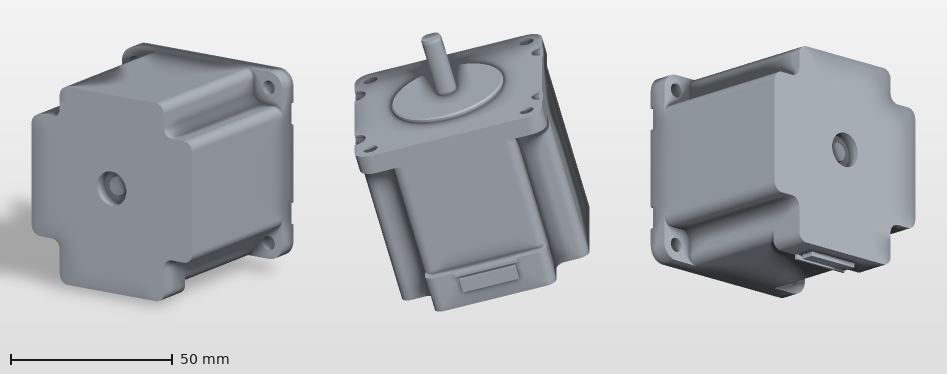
import cadquery as cq


CAP_FRONT = 11.65
FLANGE_REAR = 49.4
FLANGE_FRONT = 55.5
BOSS_FRONT = 57.1
SHAFT_TIP = 76.1

FRAME = 60.0
HALF = FRAME / 2
CORNER_NOTCH = 10.5
NOTCH_FILLET = 3.05
FLANGE_CORNER_RADIUS = 4.95
ARM_WIDTH = FRAME - 2 * CORNER_NOTCH
CAP_DROP = 3.5

HOLE_DIAMETER = 4.5
HOLE_OFFSET = 24.95
BOSS_DIAMETER = 35.7
BOSS_CHAMFER = 0.45
POCKET_RADIUS = 3.5
POCKET_DEPTH = 0.9
POCKET_OFFSET = 16.0

SHAFT_DIAMETER = 6.4
SHAFT_CHAMFER_LENGTH = 1.0
SHAFT_CHAMFER_DEPTH = 0.27
FLAT_LENGTH = 15.15
FLAT_DEPTH = 0.6
RECESS_DIAMETER = 10.95
RECESS_DEPTH = 4.0
SHAFT_REAR = RECESS_DEPTH - SHAFT_CHAMFER_LENGTH

CONNECTOR_DROP = 1.5
CONNECTOR_PLATE_WIDTH = 20.3
CONNECTOR_PLATE_THICKNESS = 0.8
CONNECTOR_GAP = 1.15
CONNECTOR_BLOCK_WIDTH = 17.95
CONNECTOR_BLOCK_LENGTH = 4.4


def box(width, y_start, y_end, z_bottom, z_top):
    """Box centred on X = 0."""
    size = (width, y_end - y_start, z_top - z_bottom)
    corner = cq.Vector(-width / 2, y_start, z_bottom)
    return cq.Workplane(cq.Solid.makeBox(*size, corner))


def cylinder(diameter, y_start, y_end, x=0, z=0):
    """Round bar parallel to the shaft axis."""
    start = cq.Vector(x, y_start, z)
    return cq.Workplane(
        cq.Solid.makeCylinder(diameter / 2, y_end - y_start, start, cq.Vector(0, 1, 0))
    )


def cross_prism(y_start, y_end, drop=0.0):
    """Plus-shaped length of the body; its lower arm can reach below the frame."""
    upright = box(ARM_WIDTH, y_start, y_end, -HALF - drop, HALF)
    crossbar = box(FRAME, y_start, y_end, -ARM_WIDTH / 2, ARM_WIDTH / 2)
    return upright.union(crossbar).edges("|Y").fillet(NOTCH_FILLET)


def make_flange():
    """Rounded square flange with a chamfered boss, corner holes and edge pockets."""
    flange = (
        box(FRAME, FLANGE_REAR, FLANGE_FRONT, -HALF, HALF)
        .edges("|Y")
        .fillet(FLANGE_CORNER_RADIUS)
    )
    boss = (
        cylinder(BOSS_DIAMETER, FLANGE_FRONT, BOSS_FRONT)
        .faces(">Y")
        .chamfer(BOSS_CHAMFER)
    )
    flange = flange.union(boss)
    for x_side in (-1, 1):
        for z_side in (-1, 1):
            hole = cylinder(
                HOLE_DIAMETER, FLANGE_REAR, FLANGE_FRONT, x_side * HOLE_OFFSET, z_side * HOLE_OFFSET
            )
            pocket = cylinder(
                2 * POCKET_RADIUS,
                FLANGE_FRONT - POCKET_DEPTH,
                FLANGE_FRONT,
                x_side * HALF,
                z_side * POCKET_OFFSET,
            )
            flange = flange.cut(hole).cut(pocket)
    return flange


def make_connector():
    """Back plate and narrower block, separated by a gap, rooted in the rear cap."""
    bottom = -HALF - CAP_DROP - CONNECTOR_DROP
    plate_rear = CAP_FRONT - CONNECTOR_PLATE_THICKNESS
    block_front = plate_rear - CONNECTOR_GAP
    block_rear = block_front - CONNECTOR_BLOCK_LENGTH
    plate = box(CONNECTOR_PLATE_WIDTH, plate_rear, CAP_FRONT, bottom, -HALF)
    block = box(CONNECTOR_BLOCK_WIDTH, block_rear, block_front, bottom, -HALF)
    return plate.union(block)


def make_shaft():
    """Round shaft, chamfered at both ends, with a flat on top of its front end."""
    shaft = (
        cylinder(SHAFT_DIAMETER, SHAFT_REAR, SHAFT_TIP)
        .faces("<Y or >Y")
        .edges()
        .chamfer(SHAFT_CHAMFER_LENGTH, SHAFT_CHAMFER_DEPTH)
    )
    radius = SHAFT_DIAMETER / 2
    flat = box(SHAFT_DIAMETER, SHAFT_TIP - FLAT_LENGTH, SHAFT_TIP, radius - FLAT_DEPTH, radius)
    return shaft.cut(flat)


def make_housing():
    """Flange, body, rear cap and connector in one piece, bored for the shaft."""
    body = cross_prism(CAP_FRONT, FLANGE_REAR)
    cap = cross_prism(0, CAP_FRONT, CAP_DROP)
    housing = body.union(cap).union(make_flange()).union(make_connector())
    recess = cylinder(RECESS_DIAMETER, 0, RECESS_DEPTH)
    shaft_bore = cylinder(SHAFT_DIAMETER, RECESS_DEPTH, BOSS_FRONT)
    return housing.cut(recess).cut(shaft_bore)


housing = make_housing()
shaft = make_shaft()

result = cq.Compound.makeCompound([housing.val(), shaft.val()])